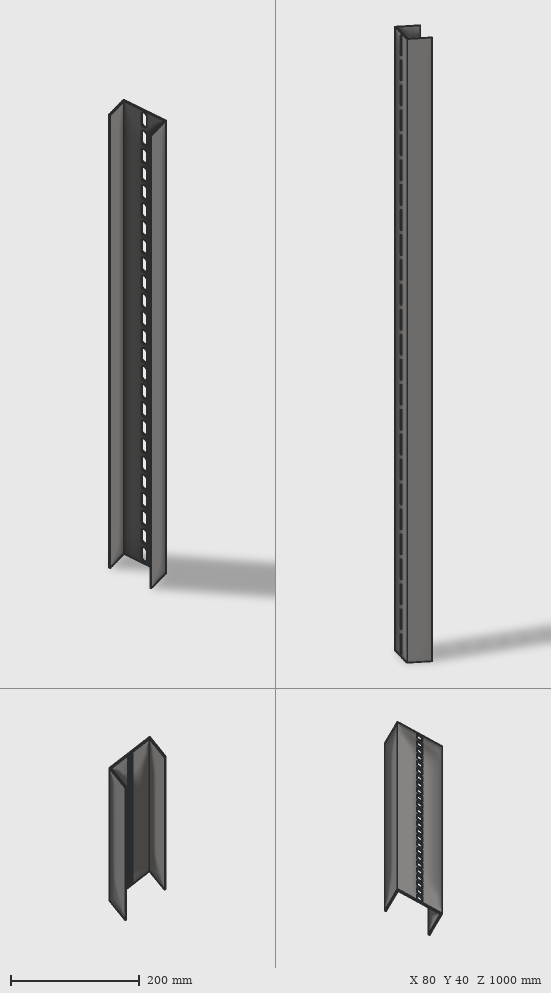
import cadquery as cq

length = 1000.0
width = 80.0
depth = 40.0
sheet_thickness = 2.3

slot_pitch = 40.0
slot_length = 32.0
slot_width = 10.0
slot_count = int(length / slot_pitch)


def make_channel():
    """U-channel with its web at +Y and its open side facing -Y."""
    outer = cq.Workplane("XY").box(width, depth, length)
    cavity = (
        cq.Workplane("XY")
        .box(width - 2 * sheet_thickness, depth, length)
        .translate((0, -sheet_thickness, 0))
    )
    return outer.cut(cavity)


def make_slot_cutters():
    """Round-ended slots, evenly spaced, reaching through the web only."""
    first_slot_z = -(slot_count - 1) * slot_pitch / 2
    centres = [(0, first_slot_z + i * slot_pitch) for i in range(slot_count)]
    return (
        cq.Workplane("XZ", origin=(0, depth / 2, 0))
        .pushPoints(centres)
        .slot2D(slot_length, slot_width, angle=90)
        .extrude(sheet_thickness)
    )


result = make_channel().cut(make_slot_cutters())